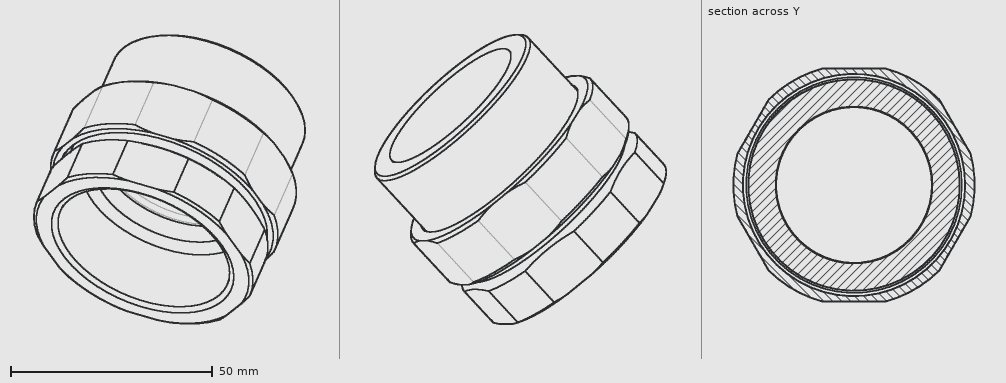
import cadquery as cq
import math

HEAD_REAR = 13.15
NUT_FRONT = 15.0
JOINT = 24.3
LIP_FRONT = 26.75
NUT_REAR = 30.5
LENGTH = 49.0

HEAD_FLATS = 55.55
HEAD_DIAMETER = 57.85
HEAD_FACE_DIAMETER = 56.1
HEAD_FRONT_BEVEL = 0.55
HEAD_REAR_BEVEL = 1.6
NECK_DIAMETER = 52.55
SOCKET_MOUTH_DIAMETER = 48.1
SOCKET_FRONT_DIAMETER = 45.3
SOCKET_REAR_DIAMETER = 44.45
SOCKET_BEVEL = 0.85
SOCKET_DEPTH = 17.35
SEAT_DEPTH = 19.15
BODY_BORE = 38.9

NUT_BORE = 55.15
NUT_LIP_BORE = 51.85
NUT_FLATS = 57.95
NUT_DIAMETER = 60.0
NUT_FACE_DIAMETER = 58.2
NUT_BEVEL = 0.9

SLEEVE_DIAMETER = 51.3
COLLAR_DIAMETER = 53.6
SLEEVE_BORE = 38.65
SLEEVE_LEAD_END = 24.85
SLEEVE_TAPER_START = LIP_FRONT
SLEEVE_MOUTH_DIAMETER = 39.95
SLEEVE_BEVEL = 0.8


def revolve_profile(points):
    """Revolve an outline of (diameter, y) points around the Y axis."""
    outline = [(diameter / 2, y) for diameter, y in points]
    return cq.Workplane("XY").polyline(outline).close().revolve(360, (0, 0, 0), (0, 1, 0))


def hex_prism(across_flats, y_start, y_end):
    """Hexagonal prism along Y with two flats facing up and down."""
    plane = cq.Workplane("XZ", origin=(0, y_end, 0))
    return plane.polygon(6, across_flats / math.cos(math.radians(30))).extrude(y_end - y_start)


def make_front_body():
    blank = revolve_profile([
        (0, 0),
        (HEAD_FACE_DIAMETER, 0),
        (HEAD_DIAMETER, HEAD_FRONT_BEVEL),
        (HEAD_DIAMETER, HEAD_REAR - HEAD_REAR_BEVEL),
        (NECK_DIAMETER, HEAD_REAR),
        (0, HEAD_REAR),
    ])
    head = blank.intersect(hex_prism(HEAD_FLATS, 0, HEAD_REAR))
    neck = revolve_profile([
        (0, HEAD_REAR),
        (NECK_DIAMETER, HEAD_REAR),
        (NECK_DIAMETER, JOINT),
        (0, JOINT),
    ])
    socket = revolve_profile([
        (0, 0),
        (SOCKET_MOUTH_DIAMETER, 0),
        (SOCKET_FRONT_DIAMETER, SOCKET_BEVEL),
        (SOCKET_REAR_DIAMETER, SOCKET_DEPTH),
        (BODY_BORE, SEAT_DEPTH),
        (BODY_BORE, JOINT),
        (0, JOINT),
    ])
    return head.union(neck).cut(socket)


def make_nut():
    blank = revolve_profile([
        (NUT_BORE, NUT_FRONT),
        (NUT_FACE_DIAMETER, NUT_FRONT),
        (NUT_DIAMETER, NUT_FRONT + NUT_BEVEL),
        (NUT_DIAMETER, NUT_REAR - NUT_BEVEL),
        (NUT_FACE_DIAMETER, NUT_REAR),
        (NUT_LIP_BORE, NUT_REAR),
        (NUT_LIP_BORE, LIP_FRONT),
        (NUT_BORE, LIP_FRONT),
    ])
    return blank.intersect(hex_prism(NUT_FLATS, NUT_FRONT, NUT_REAR))


def make_sleeve():
    return revolve_profile([
        (BODY_BORE, JOINT),
        (COLLAR_DIAMETER, JOINT),
        (COLLAR_DIAMETER, LIP_FRONT),
        (SLEEVE_DIAMETER, LIP_FRONT),
        (SLEEVE_DIAMETER, LENGTH - SLEEVE_BEVEL),
        (SLEEVE_DIAMETER - 2 * SLEEVE_BEVEL, LENGTH),
        (SLEEVE_MOUTH_DIAMETER, LENGTH),
        (SLEEVE_BORE, SLEEVE_TAPER_START),
        (SLEEVE_BORE, SLEEVE_LEAD_END),
    ])


front_body = make_front_body()
nut = make_nut()
sleeve = make_sleeve()

result = cq.Compound.makeCompound([front_body.val(), nut.val(), sleeve.val()])